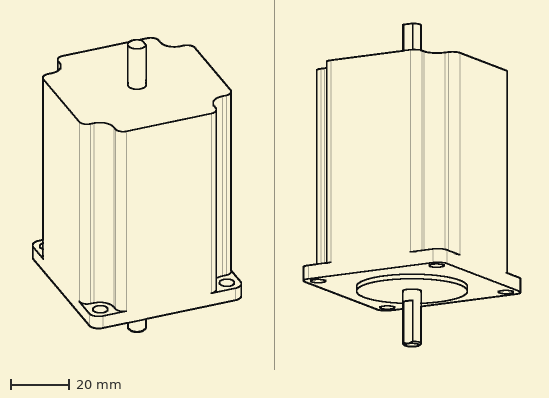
import cadquery as cq

WIDTH = 56.4
FLANGE_THICKNESS = 4.8
FLANGE_CORNER_RADIUS = 3.5
HOUSING_LENGTH = 76.0

HOLE_SPACING = 47.14
HOLE_DIAMETER = 5.1
SCOOP_SIZE = 9.5
SCOOP_RADIUS = 5.2
SCOOP_EDGE_RADIUS = 2.9

PILOT_DIAMETER = 38.1
PILOT_HEIGHT = 1.6

SHAFT_DIAMETER = 6.35
FRONT_SHAFT_LENGTH = 20.6
REAR_SHAFT_LENGTH = 16.0
SHAFT_CHAMFER = 0.6
FLAT_LENGTH = 15.0
SIZE_ACROSS_FLAT = 5.8

SHAFT_BOTTOM = -FRONT_SHAFT_LENGTH
SHAFT_TOP = HOUSING_LENGTH + REAR_SHAFT_LENGTH


def make_flange():
    return (
        cq.Workplane("XY")
        .rect(WIDTH, WIDTH)
        .extrude(FLANGE_THICKNESS)
        .edges("|Z")
        .fillet(FLANGE_CORNER_RADIUS)
    )


def make_corner_scoop(x_side, y_side):
    """Cutter for one corner: a square block whose inner edge is rounded."""
    inner = WIDTH / 2 - SCOOP_SIZE
    center = inner + SCOOP_SIZE / 2
    return (
        cq.Workplane("XY")
        .center(x_side * center, y_side * center)
        .rect(SCOOP_SIZE, SCOOP_SIZE)
        .extrude(HOUSING_LENGTH)
        .edges("|Z")
        .edges(cq.NearestToPointSelector((x_side * inner, y_side * inner, HOUSING_LENGTH / 2)))
        .fillet(SCOOP_RADIUS)
    )


def make_stack():
    stack = cq.Workplane("XY").rect(WIDTH, WIDTH).extrude(HOUSING_LENGTH)
    for x_side in (-1, 1):
        for y_side in (-1, 1):
            stack = stack.cut(make_corner_scoop(x_side, y_side))
    for side in ("<X", ">X", "<Y", ">Y"):
        stack = stack.faces(side).edges("|Z").fillet(SCOOP_EDGE_RADIUS)
    return stack


def make_pilot():
    return cq.Workplane("XY").circle(PILOT_DIAMETER / 2).extrude(-PILOT_HEIGHT)


def make_flat_cutter(bottom):
    flat_y = SIZE_ACROSS_FLAT - SHAFT_DIAMETER / 2
    return (
        cq.Workplane("XY")
        .box(SHAFT_DIAMETER, SHAFT_DIAMETER, FLAT_LENGTH, centered=(True, False, False))
        .translate((0, flat_y, bottom))
    )


def make_shaft():
    shaft = (
        cq.Workplane("XY")
        .workplane(offset=SHAFT_BOTTOM)
        .circle(SHAFT_DIAMETER / 2)
        .extrude(SHAFT_TOP - SHAFT_BOTTOM)
        .faces("<Z")
        .chamfer(SHAFT_CHAMFER)
    )
    for flat_bottom in (SHAFT_BOTTOM, SHAFT_TOP - FLAT_LENGTH):
        shaft = shaft.cut(make_flat_cutter(flat_bottom))
    return shaft


def make_mounting_holes():
    return (
        cq.Workplane("XY")
        .rect(HOLE_SPACING, HOLE_SPACING, forConstruction=True)
        .vertices()
        .circle(HOLE_DIAMETER / 2)
        .extrude(FLANGE_THICKNESS)
    )


housing = make_stack().union(make_flange()).cut(make_mounting_holes())
result = housing.union(make_pilot()).union(make_shaft()).clean()